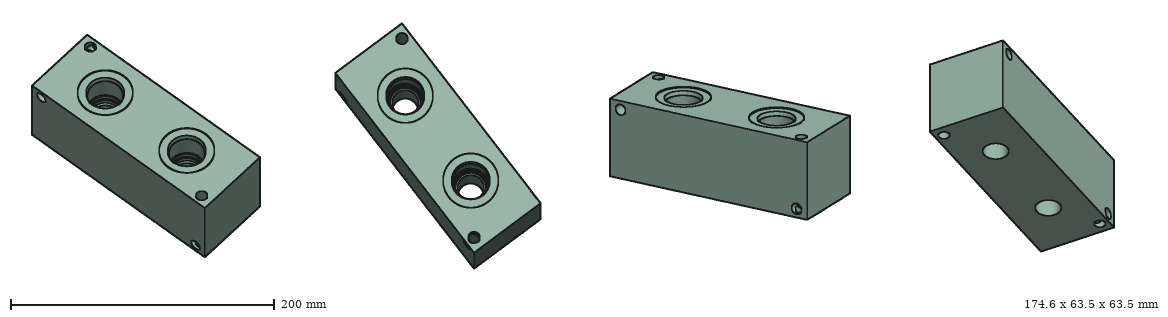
import cadquery as cq
import math

LENGTH = 174.6
SIDE = 63.5
TOP = SIDE / 2

PORT_SPACING = 82.5
SPOTFACE_DIAMETER = 42.0
SPOTFACE_DEPTH = 0.9
SEAT_TOP_DIAMETER = 29.2
SEAT_BOTTOM_DIAMETER = 27.5
SEAT_HEIGHT = 3.3
THREAD_DIAMETER = 27.0
THREAD_DEPTH = 21.0
TAP_DRILL_DIAMETER = 25.0
TAP_DRILL_LENGTH = 3.5
STEP_DIAMETER = 23.0
STEP_LENGTH = 3.5
BORE_DIAMETER = 19.9
TAP_DRILL_POINT_ANGLE = 132.0
STEP_POINT_ANGLE = 120.0

MOUNT_DIAMETER = 8.7
MOUNT_END_INSET = 9.5
MOUNT_EDGE_INSET = 7.2
MOUNT_X = LENGTH / 2 - MOUNT_END_INSET
MOUNT_OFFSET = SIDE / 2 - MOUNT_EDGE_INSET
MOUNT_POINTS = [(-MOUNT_X, MOUNT_OFFSET), (MOUNT_X, -MOUNT_OFFSET)]


def cone_drop(large_diameter, small_diameter, included_angle):
    """Height of a cone of the given included angle between two diameters."""
    return (large_diameter - small_diameter) / 2 / math.tan(math.radians(included_angle / 2))


def port_cutter():
    """Stepped port revolved about Z, from the top face through to the bottom."""
    spotface_z = TOP - SPOTFACE_DEPTH
    seat_z = spotface_z - SEAT_HEIGHT
    thread_z = spotface_z - THREAD_DEPTH
    tap_drill_z = thread_z - TAP_DRILL_LENGTH
    step_top_z = tap_drill_z - cone_drop(TAP_DRILL_DIAMETER, STEP_DIAMETER, TAP_DRILL_POINT_ANGLE)
    step_z = step_top_z - STEP_LENGTH
    bore_z = step_z - cone_drop(STEP_DIAMETER, BORE_DIAMETER, STEP_POINT_ANGLE)
    profile = [
        (0, TOP),
        (SPOTFACE_DIAMETER / 2, TOP),
        (SPOTFACE_DIAMETER / 2, spotface_z),
        (SEAT_TOP_DIAMETER / 2, spotface_z),
        (SEAT_BOTTOM_DIAMETER / 2, seat_z),
        (THREAD_DIAMETER / 2, seat_z),
        (THREAD_DIAMETER / 2, thread_z),
        (TAP_DRILL_DIAMETER / 2, thread_z),
        (TAP_DRILL_DIAMETER / 2, tap_drill_z),
        (STEP_DIAMETER / 2, step_top_z),
        (STEP_DIAMETER / 2, step_z),
        (BORE_DIAMETER / 2, bore_z),
        (BORE_DIAMETER / 2, -TOP),
        (0, -TOP),
    ]
    return cq.Workplane("XZ").polyline(profile).close().revolve(360, (0, 0), (0, 1))


def mounting_cutter(plane):
    """Pair of through holes normal to the given plane."""
    return (
        cq.Workplane(plane)
        .pushPoints(MOUNT_POINTS)
        .circle(MOUNT_DIAMETER / 2)
        .extrude(SIDE / 2, both=True)
    )


result = cq.Workplane("XY").box(LENGTH, SIDE, SIDE)

for port_x in (-PORT_SPACING / 2, PORT_SPACING / 2):
    result = result.cut(port_cutter().translate((port_x, 0, 0)))

for plane in ("XY", "XZ"):
    result = result.cut(mounting_cutter(plane))